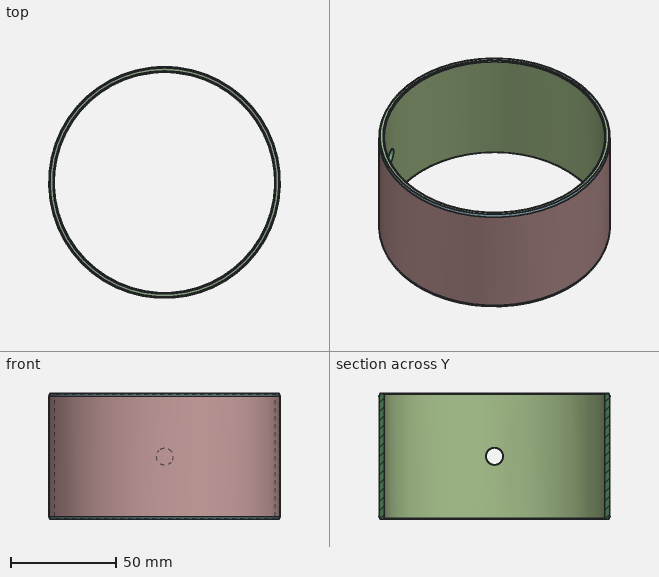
import cadquery as cq

outer_diameter = 110.0
wall = 2.5
height = 60.0
inner_diameter = outer_diameter - 2 * wall

outer_bevel_height = 1.3
outer_bevel_width = 0.5
inner_bevel = 0.5

hole_diameter = 8.0
hole_height = height / 2


def make_sleeve():
    """Revolve the wall section, bevelled at all four corners, about Z."""
    outer_radius = outer_diameter / 2
    inner_radius = inner_diameter / 2
    section = [
        (inner_radius + inner_bevel, 0),
        (outer_radius - outer_bevel_width, 0),
        (outer_radius, outer_bevel_height),
        (outer_radius, height - outer_bevel_height),
        (outer_radius - outer_bevel_width, height),
        (inner_radius + inner_bevel, height),
        (inner_radius, height - inner_bevel),
        (inner_radius, inner_bevel),
    ]
    return cq.Workplane("YZ").polyline(section).close().revolve(360, (0, 0), (0, 1))


def make_hole_cutter():
    """Cylinder running from the Z axis outwards along +Y."""
    return (
        cq.Workplane("XZ")
        .center(0, hole_height)
        .circle(hole_diameter / 2)
        .extrude(-outer_diameter)
    )


result = make_sleeve().cut(make_hole_cutter())